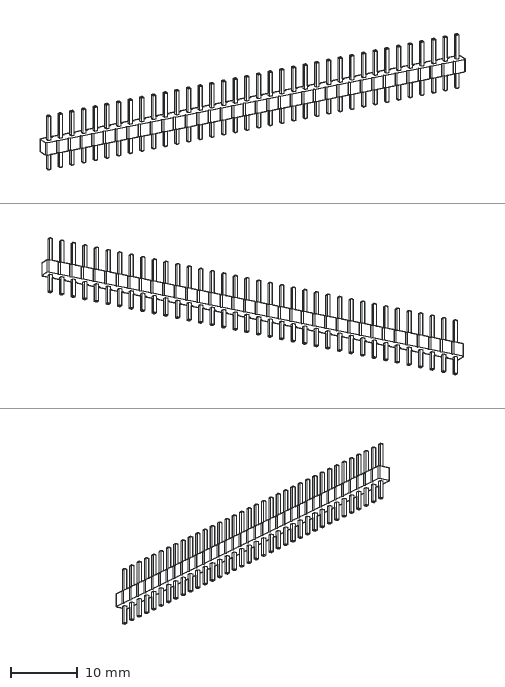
import cadquery as cq
import math

strip_length = 72.0
pin_count = 36
pitch = strip_length / pin_count

body_width = pitch
body_height = 2.0
notch_depth = 0.2

pin_side = 0.5
pin_above = 3.95
pin_below = 2.8
tip_chamfer = 0.13
pin_length = pin_below + body_height + pin_above

pin_places = [(0, (index - (pin_count - 1) / 2) * pitch) for index in range(pin_count)]

notch_places = [
    (side * body_width / 2, (index - pin_count / 2) * pitch)
    for side in (-1, 1)
    for index in range(pin_count + 1)
]


def insulator():
    """Straight bar with 90-degree V notches between pins; half a notch bevels each end corner."""
    notch_side = notch_depth * math.sqrt(2)
    notch_cutter = cq.Workplane("XY").rect(notch_side, notch_side).extrude(body_height)
    notch_cutter = notch_cutter.rotate((0, 0, 0), (0, 0, 1), 45).val()
    notches = cq.Workplane("XY").pushPoints(notch_places).eachpoint(notch_cutter)
    bar = cq.Workplane("XY").rect(body_width, strip_length).extrude(body_height)
    return bar.cut(notches)


def pins():
    """Row of square pins with both ends bevelled on all four sides."""
    blanks = (
        cq.Workplane("XY")
        .workplane(offset=-pin_below)
        .pushPoints(pin_places)
        .rect(pin_side, pin_side)
        .extrude(pin_length)
    )
    return blanks.faces("<Z or >Z").edges().chamfer(tip_chamfer)


result = insulator().union(pins())